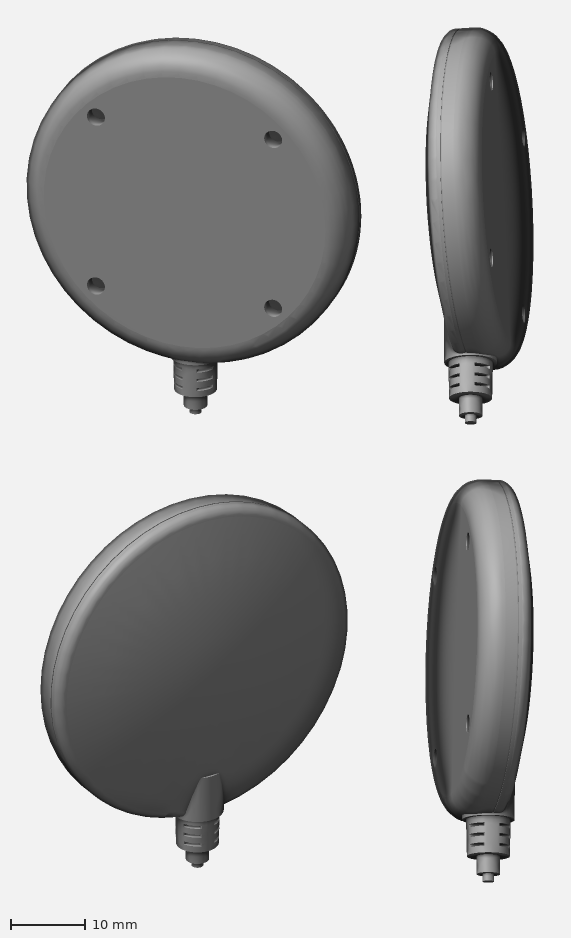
import cadquery as cq
import math

disc_diameter = 46.3
disc_radius = disc_diameter / 2
total_depth = 10.0
total_height = 54.8
face_round = 3.3
face_radius = disc_radius - face_round
rim_end = 5.6
dome_edge_radius = 21.85
dome_edge_depth = 7.0

parting_depth = 5.05
parting_width = 0.15
parting_cut = 0.1
cutter_margin = 0.55

hole_offset = 12.5
hole_diameter = 2.5
hole_depth = 2.2

collar_radius = 3.55
collar_end = -disc_radius
relief_top_radius = 3.0
relief_bottom_radius = 2.9
relief_end = -28.15
sheath_radius = 1.6
sheath_end = -30.65
wire_diameter = 1.6
wire_radius = wire_diameter / 2
wire_end = disc_radius - total_height
cable_start = -16.45

slot_count = 3
slot_pitch = 1.35
slot_width = 0.45
first_slot = -24.3
rib_width = 2.05


def make_disc():
    """Revolve the half section of the housing about the Y axis."""
    diagonal = math.sqrt(0.5)
    dome_rise = total_depth - dome_edge_depth
    dome_radius = (dome_edge_radius**2 + dome_rise**2) / (2 * dome_rise)
    dome_mid_radius = dome_edge_radius / 2
    dome_center = total_depth - dome_radius
    dome_mid_depth = dome_center + math.sqrt(dome_radius**2 - dome_mid_radius**2)
    round_mid = (face_radius + face_round * diagonal, face_round * (1 - diagonal))
    profile = (
        cq.Workplane("XY")
        .lineTo(face_radius, 0)
        .threePointArc(round_mid, (disc_radius, face_round))
        .lineTo(disc_radius, rim_end)
        .tangentArcPoint((dome_edge_radius, dome_edge_depth), relative=False)
        .threePointArc((dome_mid_radius, dome_mid_depth), (0, total_depth))
        .close()
    )
    return profile.revolve(360, (0, 0, 0), (0, 1, 0))


def make_parting_groove():
    ring = cq.Workplane("XZ").circle(disc_radius + cutter_margin).circle(disc_radius - parting_cut)
    return ring.extrude(-parting_width).translate((0, parting_depth - parting_width / 2, 0))


def make_holes():
    spacing = 2 * hole_offset
    return (
        cq.Workplane("XZ")
        .rarray(spacing, spacing, 2, 2)
        .circle(hole_diameter / 2)
        .extrude(-hole_depth)
    )


def cable_cylinder(radius, end):
    section = cq.Workplane("XY", origin=(0, parting_depth, end)).circle(radius)
    return section.extrude(cable_start - end)


def make_relief():
    """Strain relief body, tapering slightly away from the collar."""
    length = collar_end - relief_end
    return (
        cq.Workplane("XY", origin=(0, parting_depth, relief_end))
        .circle(relief_bottom_radius)
        .workplane(offset=length)
        .circle(relief_top_radius)
        .loft()
    )


def make_slots():
    """Square corner cutters at every slot level, clear of the four ribs."""
    cutter_size = relief_top_radius
    corner_spacing = rib_width + cutter_size
    slots = cq.Workplane("XY")
    for index in range(slot_count):
        level = first_slot - index * slot_pitch
        cutters = (
            cq.Workplane("XY", origin=(0, parting_depth, level))
            .rarray(corner_spacing, corner_spacing, 2, 2)
            .rect(cutter_size, cutter_size)
            .extrude(slot_width / 2, both=True)
        )
        slots = slots.add(cutters)
    return slots.combine()


result = make_disc().cut(make_parting_groove())
result = result.union(cable_cylinder(collar_radius, collar_end))
result = result.union(make_relief())
result = result.union(cable_cylinder(sheath_radius, sheath_end))
result = result.union(cable_cylinder(wire_radius, wire_end))
result = result.cut(make_slots())
result = result.cut(make_holes())